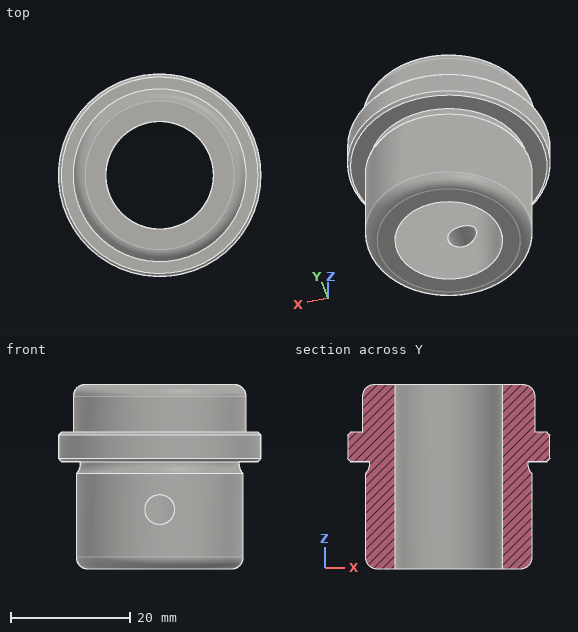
import cadquery as cq
import math

flange_diameter = 34.0
total_height = 31.0
head_diameter = 29.0
body_diameter = 28.0
bore_diameter = 18.0
head_height = 8.0
flange_thickness = 5.0
flange_chamfer = 0.5
end_rounding = 2.0
cross_hole_diameter = 5.0
cross_hole_height = 10.0

neck_diameter = 26.7
relief_height = 2.0
relief_radius = 2.5

flange_radius = flange_diameter / 2
head_radius = head_diameter / 2
body_radius = body_diameter / 2
neck_radius = neck_diameter / 2
bore_radius = bore_diameter / 2
flange_top = total_height - head_height
flange_bottom = flange_top - flange_thickness
corner_offset = end_rounding * (1 - math.sqrt(0.5))


def make_sleeve():
    """Revolve the stepped half section around Z."""
    profile = (
        cq.Workplane("XZ")
        .moveTo(bore_radius, 0)
        .lineTo(body_radius - end_rounding, 0)
        .threePointArc(
            (body_radius - corner_offset, corner_offset),
            (body_radius, end_rounding),
        )
        .lineTo(body_radius, flange_bottom - relief_height)
        .radiusArc((neck_radius, flange_bottom), relief_radius)
        .lineTo(flange_radius - flange_chamfer, flange_bottom)
        .lineTo(flange_radius, flange_bottom + flange_chamfer)
        .lineTo(flange_radius, flange_top - flange_chamfer)
        .lineTo(flange_radius - flange_chamfer, flange_top)
        .lineTo(head_radius, flange_top)
        .lineTo(head_radius, total_height - end_rounding)
        .threePointArc(
            (head_radius - corner_offset, total_height - corner_offset),
            (head_radius - end_rounding, total_height),
        )
        .lineTo(bore_radius, total_height)
        .close()
    )
    return profile.revolve(360, (0, 0, 0), (0, 1, 0))


def make_cross_hole():
    """Radial hole from the bore out through the -Y wall."""
    return (
        cq.Workplane("XZ")
        .center(0, cross_hole_height)
        .circle(cross_hole_diameter / 2)
        .extrude(flange_radius)
    )


result = make_sleeve().cut(make_cross_hole())